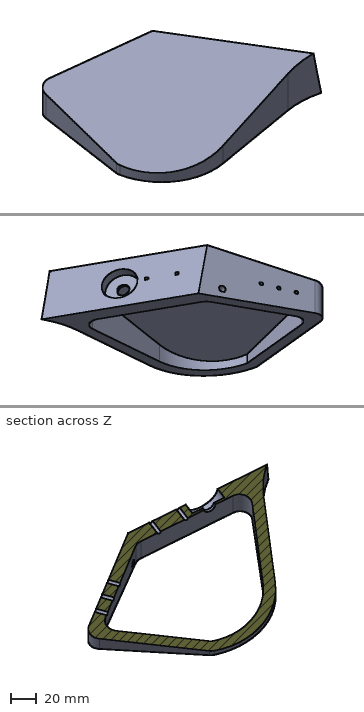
import cadquery as cq
import math

width = 130.0
length = 207.0
height = 48.0
wall = 10.0
roof = 5.0
corner_radius = 10.0

mount_angle = math.radians(50.4)
foot_corner_y = 108.8
foot_overhang = 4.8
taper = 0.139

nose_radius = 61.7
nose_center = (width - nose_radius, 70.4)
nose_end_x = 98.7
flank_angle = math.radians(24.8)
flank_length = 84.8
front_corner_y = -2.0
wedge_reach = 165.5

hole_overrun = 2.0
mount_wall = wall + foot_overhang
side_hole_diameter = 3.0
side_hole_positions = [25.7, 40.5, 55.5]
cable_hole_diameter = 5.5
cable_hole_y = 88.5
cable_hole_z = -14.0
bore_hole_diameter = 10.0
bore_diameter = 29.0
bore_depth = 10.0
bore_y = 157.0
bore_z = -0.6
pin_hole_positions = [121.3, 140.3]

along = cq.Vector(math.cos(mount_angle), math.sin(mount_angle), 0)
inward = cq.Vector(math.sin(mount_angle), -math.cos(mount_angle), 0)
mount_slope = math.tan(mount_angle)
overhang_y = foot_overhang / math.cos(mount_angle)
top_corner_y = foot_corner_y - overhang_y
tip_x = (length - foot_corner_y) / mount_slope

nose_x, nose_y = nose_center
nose_end_y = nose_y - math.sqrt(nose_radius**2 - (nose_end_x - nose_x) ** 2)
flank_start_x = nose_x + nose_radius * math.cos(flank_angle)
flank_start_y = nose_y + nose_radius * math.sin(flank_angle)
flank_end_x = flank_start_x - flank_length * math.sin(flank_angle)
flank_end_y = flank_start_y + flank_length * math.cos(flank_angle)


def outline_to_flank(left_corner_y):
    """Plan from the left corner around the front and nose to the flank start."""
    return (
        cq.Workplane("XY", origin=(0, 0, -height / 2))
        .moveTo(0, left_corner_y)
        .lineTo(0, front_corner_y)
        .lineTo(nose_end_x, nose_end_y)
        .threePointArc((width, nose_y), (flank_start_x, flank_start_y))
    )


def wedge(top_drop):
    """Tapered bar along the mounting face, with its top lowered by top_drop."""
    half = height / 2
    section_plane = cq.Plane(origin=(0, top_corner_y, 0), xDir=inward, normal=along * -1)
    bar = (
        cq.Workplane(section_plane)
        .moveTo(0, half - top_drop)
        .lineTo(-foot_overhang, -half)
        .lineTo(wedge_reach - foot_overhang, -half + taper * wedge_reach)
        .lineTo(wedge_reach, half - taper * wedge_reach - top_drop)
        .close()
    )
    return bar.extrude(length, both=True)


def make_body():
    plan = outline_to_flank(foot_corner_y).lineTo(flank_end_x, flank_end_y)
    block = plan.tangentArcPoint((tip_x, length), relative=False).close().extrude(height)
    nose_corner = cq.selectors.NearestToPointSelector((nose_end_x, nose_end_y, 0))
    block = block.edges("|Z").edges(nose_corner).fillet(corner_radius)
    block = block.edges("|Z").edges("<Y").fillet(corner_radius)
    return block.intersect(wedge(0))


def make_pocket():
    """Cavity open at the bottom, a wall thickness inside the upper outline."""
    flank_slope = -1 / math.tan(flank_angle)
    apex_x = (flank_start_y - flank_slope * flank_start_x - top_corner_y) / (mount_slope - flank_slope)
    apex_y = top_corner_y + mount_slope * apex_x
    plan = outline_to_flank(top_corner_y).lineTo(apex_x, apex_y).close()
    cavity = plan.offset2D(-wall, "intersection").extrude(height)
    cavity = cavity.edges("|Z").edges(">Y").fillet(corner_radius)
    cavity = cavity.edges("|Z").edges("<X").fillet(corner_radius)
    return cavity.intersect(wedge(roof))


def drill(start, direction, diameter, depth):
    return cq.Workplane(cq.Solid.makeCylinder(diameter / 2, depth, start, direction))


def side_hole(y, z, diameter):
    """Hole through the left wall into the pocket."""
    return drill(cq.Vector(0, y, z), cq.Vector(1, 0, 0), diameter, wall + hole_overrun)


def mount_hole(y, z, diameter, depth):
    """Horizontal hole, square to the mounting face in plan, starting outside it.

    The depth is counted from the leaning face at mid-height.
    """
    face_point = cq.Vector((y - top_corner_y - overhang_y / 2) / mount_slope, y, z)
    start = face_point - inward * foot_overhang
    return drill(start, inward, diameter, depth + foot_overhang)


result = make_body().cut(make_pocket())

for y in side_hole_positions:
    result = result.cut(side_hole(y, 0, side_hole_diameter))
result = result.cut(side_hole(cable_hole_y, cable_hole_z, cable_hole_diameter))

for y in pin_hole_positions:
    result = result.cut(mount_hole(y, 0, side_hole_diameter, mount_wall + hole_overrun))
result = result.cut(mount_hole(bore_y, 0, bore_hole_diameter, mount_wall + hole_overrun))
result = result.cut(mount_hole(bore_y, bore_z, bore_diameter, bore_depth))